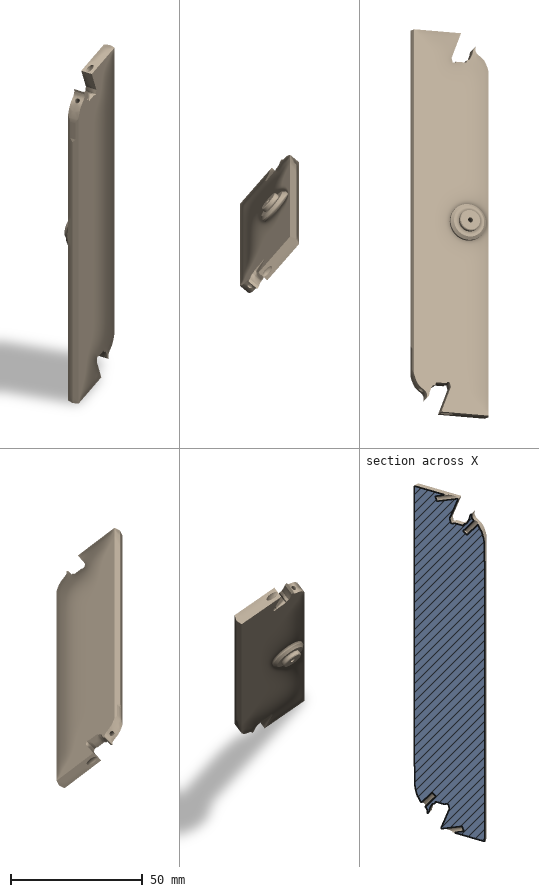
import cadquery as cq
import math

blade_length = 150.0
blade_width = 30.9
blade_thickness = 4.5
bevel_depth = 0.8

half_length = blade_length / 2
half_width = blade_width / 2
half_thickness = blade_thickness / 2
half_turn = 180.0

jaw_corner = (-3.9, half_length)
jaw_root = (-0.2, 65.0)
relief_inner = (-0.6, 63.2)
relief_outer = (-1.6, 63.2)
seat_z = 63.6
seat_inner_y = -1.8
seat_outer_y = -6.0
step_inner = (-6.3, 64.6)
step_outer = (-7.4, 65.0)
hook_hollow = (-8.1, 66.5)
hook_throat = (-8.8, 69.2)
hook_tip = (-9.8, 70.2)
hook_back = (-9.6, 69.2)
slope_top = (-10.2, 67.5)
slope_bottom = (-12.3, 65.8)
nose_middle = (-14.1, 63.0)

flat_depth = 0.38
flat_y = flat_depth - half_width
flat_top_z = 58.6
flat_bottom_z = 50.8
ridge_start_z = 49.5

outlet_diameter = 2.0
outlet_depth = 7.5
jaw_outlet_mouth = (-1.2, half_length)
jaw_outlet_lean = 67.0
hook_outlet_mouth = (-11.4, 66.5)
hook_outlet_lean = 38.0

fitting_y = -6.5
fitting_z = 0.5
ring_diameter = 14.1
ring_height = 2.1
ring_chamfer = 1.0
plug_diameter = 8.1
plug_stand_out = 1.8
plug_height = ring_height + plug_stand_out
plug_chamfer = 0.3
plug_hole_diameter = 2.0


def half_turned(points):
    """Turn (y, z) points half a turn about the X axis."""
    return [(-y, -z) for y, z in points]


def draw_end(outline, turn):
    """Continue the outline from the jaw corner to the ridge of one blade end."""
    def place(*points):
        return half_turned(points) if turn else list(points)

    def line_through(*points):
        path = outline
        for point in place(*points):
            path = path.lineTo(*point)
        return path

    outline = line_through(jaw_corner, jaw_root, relief_inner, relief_outer)
    outline = line_through((seat_inner_y, seat_z), (seat_outer_y, seat_z), step_inner, step_outer)
    outline = outline.threePointArc(*place(hook_hollow, hook_throat))
    outline = line_through(hook_tip, hook_back)
    outline = outline.spline(
        place(slope_top, slope_bottom, nose_middle, (flat_y, flat_top_z)),
        includeCurrent=True,
    )
    return line_through((flat_y, flat_bottom_z), (-half_width, ridge_start_z))


def cut_outlet(body, mouth, lean, turn):
    """Drill a blind coolant outlet inward from its mouth."""
    y, z = mouth
    angle = math.radians(lean)
    inward = cq.Vector(0, math.sin(angle), -math.cos(angle))
    start = cq.Vector(0, y, z) - inward * outlet_depth
    drill = cq.Solid.makeCylinder(outlet_diameter / 2, 2 * outlet_depth, start, inward)
    if turn:
        drill = drill.rotate(cq.Vector(0, 0, 0), cq.Vector(1, 0, 0), half_turn)
    return body.cut(cq.Workplane(obj=drill))


def make_blade():
    """Cross the end-to-end outline with the bevelled section, then drill the outlets."""
    outline = cq.Workplane("YZ", origin=(-half_thickness, 0, 0))
    outline = outline.moveTo(half_width, half_length)
    outline = draw_end(outline, turn=False)
    outline = outline.lineTo(-half_width, -half_length)
    outline = draw_end(outline, turn=True)
    plate = outline.close().extrude(blade_thickness)

    shoulder_y = half_width - bevel_depth
    bevelled_bar = (
        cq.Workplane("XY", origin=(0, 0, -half_length))
        .polyline([
            (0, half_width),
            (half_thickness, shoulder_y),
            (half_thickness, -shoulder_y),
            (0, -half_width),
            (-half_thickness, -shoulder_y),
            (-half_thickness, shoulder_y),
        ])
        .close()
        .extrude(blade_length)
    )
    body = plate.intersect(bevelled_bar)
    for turn in (False, True):
        body = cut_outlet(body, jaw_outlet_mouth, jaw_outlet_lean, turn)
        body = cut_outlet(body, hook_outlet_mouth, hook_outlet_lean, turn)
    return body


def fitting_base():
    """Work plane on the -X face of the blade; negative extrusions rise from the face."""
    return cq.Workplane("YZ", origin=(-half_thickness, fitting_y, fitting_z))


def make_ring():
    disc = fitting_base().circle(ring_diameter / 2).extrude(-ring_height)
    disc = disc.faces("<X").edges().chamfer(ring_chamfer)
    bore = fitting_base().circle(plug_diameter / 2).extrude(-ring_height)
    return disc.cut(bore)


def make_plug():
    body = fitting_base().circle(plug_diameter / 2).extrude(-plug_height)
    body = body.faces("<X").edges().chamfer(plug_chamfer)
    hole = fitting_base().circle(plug_hole_diameter / 2).extrude(-plug_height)
    return body.cut(hole)


blade = make_blade()
ring = make_ring()
plug = make_plug()

result = cq.Compound.makeCompound([
    blade.solids().val(),
    ring.solids().val(),
    plug.solids().val(),
])